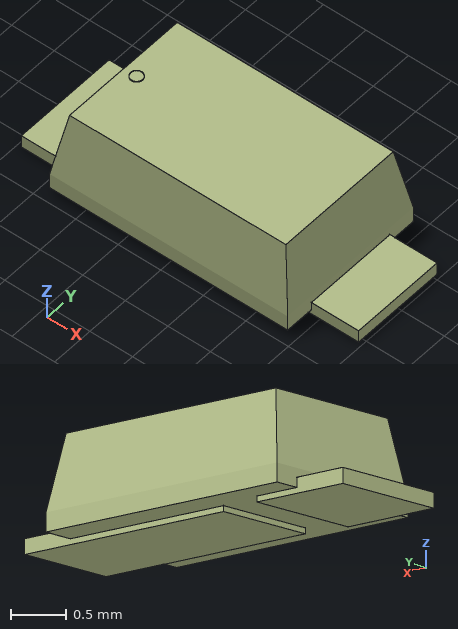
import cadquery as cq

overall_length = 3.91
lead_thickness = 0.15
standoff = 0.055

housing_length = 2.80
housing_width = 1.78
band_height = 0.18
cap_height = 0.745
cap_inset = 0.13
band_top = standoff + band_height
housing_top = band_top + cap_height

short_lead_length = 1.04
short_lead_width = 1.24
long_lead_length = 2.41
long_lead_width = 1.11

overall_height = 0.99
mark_diameter = 0.14
mark_height = overall_height - housing_top
mark_edge_distance = 0.155
mark_x = -housing_length / 2 + cap_inset + mark_edge_distance


def make_lead(length, width, end_side):
    """Flat lead whose outer end lies at -X (end_side -1) or +X (end_side +1)."""
    centre_x = end_side * (overall_length - length) / 2
    return (
        cq.Workplane("XY")
        .center(centre_x, 0)
        .box(length, width, lead_thickness, centered=(True, True, False))
    )


def make_housing(leads):
    """Housing with pockets in its underside that fit the leads."""
    band = (
        cq.Workplane("XY")
        .workplane(offset=standoff)
        .rect(housing_length, housing_width)
        .extrude(band_height)
    )
    cap = (
        cq.Workplane("XY")
        .workplane(offset=band_top)
        .rect(housing_length, housing_width)
        .workplane(offset=cap_height)
        .rect(housing_length - 2 * cap_inset, housing_width - 2 * cap_inset)
        .loft(ruled=True)
    )
    housing = band.union(cap)
    for lead in leads:
        housing = housing.cut(lead)
    return housing


def make_polarity_mark():
    """Thin disc printed on the housing top at the short lead's end."""
    return (
        cq.Workplane("XY")
        .workplane(offset=housing_top)
        .center(mark_x, 0)
        .circle(mark_diameter / 2)
        .extrude(mark_height)
    )


short_lead = make_lead(short_lead_length, short_lead_width, -1)
long_lead = make_lead(long_lead_length, long_lead_width, 1)
housing = make_housing([short_lead, long_lead])
polarity_mark = make_polarity_mark()

result = cq.Compound.makeCompound(
    [housing.val(), short_lead.val(), long_lead.val(), polarity_mark.val()]
)